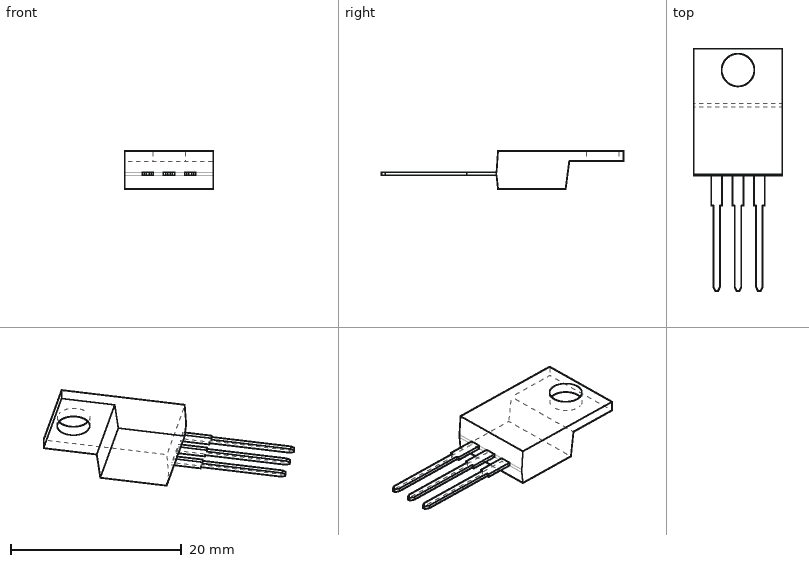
import cadquery as cq

width = 10.4
length = 28.4
height = 4.5

tab_thickness = 1.22
tab_length = 6.35
hole_diameter = 3.8
hole_to_tab_end = 2.5

parting_front_y = 13.5
front_draft = 0.17
back_draft = 0.43

lead_count = 3
lead_pitch = 2.5
lead_thickness = 0.4
lead_top_depth = 2.5
lead_width = 0.8
shoulder_width = 1.3
shoulder_y = 10.03
tip_width = 0.35
tip_length = 0.48

lead_top_z = height - lead_top_depth
lead_bottom_z = lead_top_z - lead_thickness


def make_body():
    """Side profile of tab and drafted body, extruded across the width."""
    drafted_front_y = parting_front_y + front_draft
    body_back_y = length - tab_length
    tab_bottom_z = height - tab_thickness
    profile = [
        (drafted_front_y, 0),
        (parting_front_y, lead_bottom_z),
        (parting_front_y, lead_top_z),
        (drafted_front_y, height),
        (length, height),
        (length, tab_bottom_z),
        (body_back_y, tab_bottom_z),
        (body_back_y - back_draft, 0),
    ]
    return cq.Workplane("YZ").polyline(profile).close().extrude(width / 2, both=True)


def make_mounting_hole():
    return (
        cq.Workplane("XY")
        .center(0, length - hole_to_tab_end)
        .circle(hole_diameter / 2)
        .extrude(height)
    )


def make_lead(center_x):
    """Flat lead with a wide shoulder at the body and a tapered tip."""
    right_edge = [
        (tip_width / 2, 0),
        (lead_width / 2, tip_length),
        (lead_width / 2, shoulder_y),
        (shoulder_width / 2, shoulder_y),
        (shoulder_width / 2, parting_front_y),
    ]
    left_edge = [(-x, y) for x, y in reversed(right_edge)]
    return (
        cq.Workplane("XY")
        .polyline(right_edge + left_edge)
        .close()
        .extrude(lead_thickness)
        .translate((center_x, 0, lead_bottom_z))
    )


result = make_body().cut(make_mounting_hole())
for index in range(lead_count):
    lead_x = (index - (lead_count - 1) / 2) * lead_pitch
    result = result.union(make_lead(lead_x))